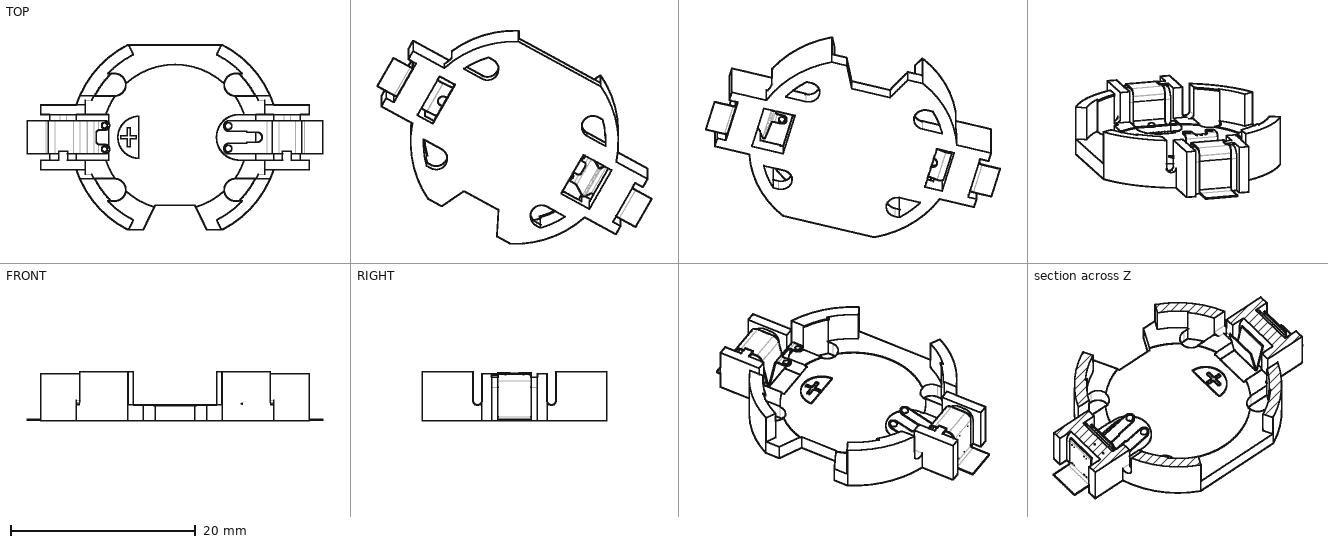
import cadquery as cq
import math


TRAY_RADIUS = 11.23
TRAY_DEPTH = 20.0
TRAY_HEIGHT = 1.73
CELL_RADIUS = 7.87
CELL_FLOOR = 1.63
NOTCH_FLAT = 7.35
NOTCH_INNER_WIDTH = 4.3
NOTCH_OUTER_WIDTH = 6.85

WALL_TOP = 5.3
WALL_INNER_RADIUS = 10.0
WALL_PAD_RADIUS = 9.85
WALL_LIP_RADIUS = 9.75
WALL_LIP_HEIGHT = 0.15
WALL_END_ANGLE = 63.3

CHEEK_INNER = 2.45
CHEEK_OUTER = 3.52
CHEEK_START = 9.7
CHEEK_END = 14.53
CHEEK_TOP = 5.12

GAP_WIDTH = 0.95
GAP_CENTER = CHEEK_OUTER + GAP_WIDTH / 2

HOLE_WIDTH = 2.4
HOLE_INNER_Y = CHEEK_OUTER + GAP_WIDTH
HOLE_CENTER_X = 6.53
HOLE_CENTER_Y = HOLE_INNER_Y + HOLE_WIDTH / 2
HOLE_OUTER_Y = HOLE_INNER_Y + HOLE_WIDTH

LEFT_OPENING_START = 7.17
RIGHT_OPENING_START = 8.75
RAMP_START = 4.48
RAMP_END_HEIGHT = 0.58

MARK_DEPTH = 0.13
MARK_FLAT_X = -3.9
MARK_RADIUS = 2.27
PLUS_CENTER_X = -5.02
PLUS_LENGTH_X = 1.65
PLUS_LENGTH_Y = 2.05
PLUS_BAR = 0.32

BLOCK_START = 10.65
BLOCK_END = 13.57
BLOCK_TOP = 4.75
BLOCK_ROUND = 1.1
CLIP_CENTER = 12.1
CLIP_WIDTH = 0.95
CLIP_TIP_Y = 1.5
CLIP_BOTTOM = 4.93

STRIP_WIDTH = 3.6
STRIP_THICKNESS = 0.13
STRIP_HALF = STRIP_THICKNESS / 2
STRIP_END = 16.0
FOOT_HEIGHT = 0.13
STRIP_TOP = 4.95
OUTER_LEG = BLOCK_END + STRIP_HALF
INNER_LEG = BLOCK_START - STRIP_HALF
TOP_BEND = 0.65
FOOT_BEND = 0.32

RIGHT_TIP_X = 5.28
RIGHT_TIP_HEIGHT = 2.37
RIGHT_HEEL_HEIGHT = 0.77
RIGHT_HEEL_BEND = 0.55
RIGHT_TIP_RADIUS = 0.58
RIGHT_SLOT_WIDTH = 1.05
RIGHT_SLOT_MOUTH = 1.28
RIGHT_SLOT_STEP_X = 7.78
RIGHT_SLOT_END_X = 9.4
BUMP_RADIUS = 0.4
BUMP_X = 5.75

LEFT_TIP_X = 7.07
LEFT_ARM_HEIGHT = 5.15
LEFT_SHOULDER_X = 10.5
LEFT_VEE_X = 9.5
LEFT_VEE_HEIGHT = 0.8
LEFT_VEE_BEND = 0.1
LEFT_ARM_CORNER_X = 8.65
LEFT_TIP_RADIUS = 0.5
LEFT_SLOT_END_X = 8.5
LEFT_SLOT_ROUND = 0.32
LEFT_BEND = 0.4
DIMPLE_X = 7.6
DIMPLE_RADIUS = 0.3


def box(x0, x1, y0, y1, z0, z1):
    """Box between two opposite corners."""
    return cq.Workplane("XY").box(x1 - x0, y1 - y0, z1 - z0, centered=False).translate((x0, y0, z0))


def cylinder(radius, z0, z1, x=0, y=0):
    """Upright cylinder between two heights."""
    return cq.Workplane("XY", origin=(x, y, z0)).circle(radius).extrude(z1 - z0)


def dome(radius):
    """Upper half of a sphere centred on the origin."""
    return cq.Workplane("XY").sphere(radius).intersect(cylinder(radius, 0, radius))


def four_corners(solid):
    """The solid and its mirror images about the XZ and YZ planes."""
    half = solid.union(solid.mirror("XZ"))
    return half.union(half.mirror("YZ"))


def flatted_disc(height):
    """Disc of the tray outline, with flats at the front and back."""
    band = box(-TRAY_RADIUS, TRAY_RADIUS, -TRAY_DEPTH / 2, TRAY_DEPTH / 2, 0, height)
    return cylinder(TRAY_RADIUS, 0, height).intersect(band)


def make_tray():
    """Tray floor with the round cell seat and the notch in its front edge."""
    notch = (
        cq.Workplane("XY")
        .polyline([
            (-NOTCH_INNER_WIDTH / 2, -NOTCH_FLAT),
            (NOTCH_INNER_WIDTH / 2, -NOTCH_FLAT),
            (NOTCH_OUTER_WIDTH / 2, -TRAY_DEPTH / 2),
            (-NOTCH_OUTER_WIDTH / 2, -TRAY_DEPTH / 2),
        ])
        .close()
        .extrude(TRAY_HEIGHT)
    )
    cell_seat = cylinder(CELL_RADIUS, CELL_FLOOR, TRAY_HEIGHT)
    return flatted_disc(TRAY_HEIGHT).cut(notch).cut(cell_seat)


def make_wall():
    """Retaining wall of the +X +Y quarter, thicker and lipped beside the tray hole."""
    ring = flatted_disc(WALL_TOP).cut(cylinder(WALL_INNER_RADIUS, 0, WALL_TOP))
    reach = 2 * TRAY_RADIUS
    end_angle = math.radians(WALL_END_ANGLE)
    sector = (
        cq.Workplane("XY")
        .polyline([(0, 0), (reach, 0), (reach * math.cos(end_angle), reach * math.sin(end_angle))])
        .close()
        .extrude(WALL_TOP)
    )
    pad = cylinder(WALL_INNER_RADIUS, 0, WALL_TOP).cut(cylinder(WALL_PAD_RADIUS, 0, WALL_TOP))
    lip_bottom = WALL_TOP - WALL_LIP_HEIGHT
    lip = cylinder(WALL_INNER_RADIUS, lip_bottom, WALL_TOP)
    lip = lip.cut(cylinder(WALL_LIP_RADIUS, lip_bottom, WALL_TOP))
    pad = pad.union(lip).intersect(box(0, TRAY_RADIUS, 0, HOLE_OUTER_Y, 0, WALL_TOP))
    beside_cheek = box(0, TRAY_RADIUS, 0, CHEEK_OUTER, 0, WALL_TOP)
    beside_gap = box(0, CHEEK_START, 0, GAP_CENTER, TRAY_HEIGHT, WALL_TOP)
    gap_axis_height = TRAY_HEIGHT + GAP_WIDTH / 2
    gap = box(0, TRAY_RADIUS, CHEEK_OUTER, HOLE_INNER_Y, gap_axis_height, WALL_TOP)
    gap_floor = (
        cq.Workplane("YZ").center(GAP_CENTER, gap_axis_height).circle(GAP_WIDTH / 2).extrude(TRAY_RADIUS)
    )
    return ring.intersect(sector).union(pad).cut(beside_cheek).cut(beside_gap).cut(gap).cut(gap_floor)


def make_hole():
    """Round-ended hole of the +X +Y quarter, running out to the wall."""
    slot = cylinder(HOLE_WIDTH / 2, 0, TRAY_HEIGHT, HOLE_CENTER_X, HOLE_CENTER_Y)
    slot = slot.union(box(HOLE_CENTER_X, TRAY_RADIUS, HOLE_INNER_Y, HOLE_OUTER_Y, 0, TRAY_HEIGHT))
    return slot.intersect(cylinder(WALL_PAD_RADIUS, 0, TRAY_HEIGHT))


def make_cheek():
    """Cheek of the +X +Y quarter."""
    return box(CHEEK_START, CHEEK_END, CHEEK_INNER, CHEEK_OUTER, 0, CHEEK_TOP)


def make_ramp_pocket():
    """Round-ended pocket whose floor slopes down from the cell seat to the right opening."""
    outline = cylinder(CHEEK_INNER, 0, TRAY_HEIGHT, RAMP_START + CHEEK_INNER)
    outline = outline.union(
        box(RAMP_START + CHEEK_INNER, RIGHT_OPENING_START, -CHEEK_INNER, CHEEK_INNER, 0, TRAY_HEIGHT)
    )
    outline = outline.intersect(
        box(RAMP_START, RIGHT_OPENING_START, -CHEEK_INNER, CHEEK_INNER, 0, TRAY_HEIGHT)
    )
    above_ramp = (
        cq.Workplane("XZ")
        .polyline([
            (RAMP_START, CELL_FLOOR),
            (RIGHT_OPENING_START, RAMP_END_HEIGHT),
            (RIGHT_OPENING_START, TRAY_HEIGHT),
            (RAMP_START, TRAY_HEIGHT),
        ])
        .close()
        .extrude(CHEEK_INNER, both=True)
    )
    return outline.intersect(above_ramp)


def make_polarity_mark():
    """Half-disc recess with a deeper plus sign in its floor."""
    recess_floor = CELL_FLOOR - MARK_DEPTH
    plus_floor = recess_floor - MARK_DEPTH
    half_disc = cylinder(MARK_RADIUS, recess_floor, CELL_FLOOR, MARK_FLAT_X).intersect(
        box(MARK_FLAT_X - MARK_RADIUS, MARK_FLAT_X, -MARK_RADIUS, MARK_RADIUS, 0, CELL_FLOOR)
    )
    plus_plane = cq.Workplane("XY", origin=(PLUS_CENTER_X, 0, plus_floor))
    bar_along_x = plus_plane.rect(PLUS_LENGTH_X, PLUS_BAR).extrude(MARK_DEPTH)
    bar_along_y = plus_plane.rect(PLUS_BAR, PLUS_LENGTH_Y).extrude(MARK_DEPTH)
    return half_disc.union(bar_along_x).union(bar_along_y)


def make_block():
    """Block between the right cheeks, rounded where the contact wraps over it."""
    block = box(BLOCK_START, BLOCK_END, -CHEEK_INNER, CHEEK_INNER, 0, BLOCK_TOP)
    return block.edges("|Y and >Z").fillet(BLOCK_ROUND)


def make_clip(center_x):
    """Tongue from the front cheek that holds a contact down."""
    half = CLIP_WIDTH / 2
    return box(center_x - half, center_x + half, -CHEEK_INNER, -CLIP_TIP_Y, CLIP_BOTTOM, CHEEK_TOP)


def bent_strip(start, corners, end):
    """Strip of constant thickness along a path in the XZ plane; corners are (x, z, bend radius)."""
    points = [start] + [corner[:2] for corner in corners] + [end]
    path = cq.Workplane("XZ").moveTo(*start)
    for before, (corner_x, corner_z, radius), after in zip(points, corners, points[2:]):
        vertex = cq.Vector(corner_x, corner_z)
        back = (cq.Vector(*before) - vertex).normalized()
        ahead = (cq.Vector(*after) - vertex).normalized()
        half_angle = back.getAngle(ahead) / 2
        tangent_length = radius / math.tan(half_angle)
        inset = radius / math.sin(half_angle) - radius
        bend_start = vertex + back * tangent_length
        bend_middle = vertex + (back + ahead).normalized() * inset
        bend_end = vertex + ahead * tangent_length
        path = path.lineTo(bend_start.x, bend_start.y)
        path = path.threePointArc((bend_middle.x, bend_middle.y), (bend_end.x, bend_end.y))
    path = path.lineTo(*end)
    section = cq.Workplane("YZ", origin=(start[0], 0, start[1])).rect(STRIP_WIDTH, STRIP_THICKNESS)
    return section.sweep(path)


def terminal_corners():
    """Bends from the solder foot, up the outer side of the block, to its top."""
    return [(OUTER_LEG, FOOT_HEIGHT, FOOT_BEND), (OUTER_LEG, STRIP_TOP, TOP_BEND)]


def arm_tip_trim(tip_x, tip_radius):
    """Material to remove so that two round-ended arms remain at the tip of a strip."""
    arm_y = STRIP_WIDTH / 2 - tip_radius
    root_x = tip_x + tip_radius
    trim = box(tip_x - STRIP_THICKNESS, root_x, -STRIP_WIDTH / 2, STRIP_WIDTH / 2, 0, WALL_TOP)
    for side in (-1, 1):
        trim = trim.cut(cylinder(tip_radius, 0, WALL_TOP, root_x, side * arm_y))
    return trim


def right_contact():
    """Right contact, with two bumped arms rising over the sloping pocket."""
    start = (STRIP_END, FOOT_HEIGHT)
    end = (RIGHT_TIP_X, RIGHT_TIP_HEIGHT)
    corners = terminal_corners() + [
        (INNER_LEG, STRIP_TOP, TOP_BEND),
        (INNER_LEG, RIGHT_HEEL_HEIGHT, RIGHT_HEEL_BEND),
    ]
    strip = bent_strip(start, corners, end)
    arm_start = RIGHT_TIP_X - STRIP_THICKNESS
    slot_end_center = RIGHT_SLOT_END_X - RIGHT_SLOT_WIDTH / 2
    slot = box(arm_start, slot_end_center, -RIGHT_SLOT_WIDTH / 2, RIGHT_SLOT_WIDTH / 2, 0, WALL_TOP)
    slot = slot.union(cylinder(RIGHT_SLOT_WIDTH / 2, 0, WALL_TOP, slot_end_center))
    mouth = box(arm_start, RIGHT_SLOT_STEP_X, -RIGHT_SLOT_MOUTH / 2, RIGHT_SLOT_MOUTH / 2, 0, WALL_TOP)
    strip = strip.cut(slot).cut(mouth)
    strip = strip.cut(arm_tip_trim(RIGHT_TIP_X, RIGHT_TIP_RADIUS))
    slope = (RIGHT_TIP_HEIGHT - RIGHT_HEEL_HEIGHT) / (INNER_LEG - RIGHT_TIP_X)
    bump_height = RIGHT_TIP_HEIGHT - slope * (BUMP_X - RIGHT_TIP_X)
    for side in (-1, 1):
        bump_y = side * (STRIP_WIDTH / 2 - RIGHT_TIP_RADIUS)
        strip = strip.union(dome(BUMP_RADIUS).translate((BUMP_X, bump_y, bump_height)))
    return strip


def left_contact():
    """Left contact, modelled towards +X and mirrored into place."""
    start = (STRIP_END, FOOT_HEIGHT)
    end = (LEFT_TIP_X, LEFT_ARM_HEIGHT)
    corners = terminal_corners() + [
        (LEFT_SHOULDER_X, STRIP_TOP, TOP_BEND),
        (LEFT_VEE_X, LEFT_VEE_HEIGHT, LEFT_VEE_BEND),
        (LEFT_ARM_CORNER_X, LEFT_ARM_HEIGHT, LEFT_BEND),
    ]
    strip = bent_strip(start, corners, end)
    slot_half = STRIP_WIDTH / 2 - 2 * LEFT_TIP_RADIUS
    slot = box(LEFT_TIP_X, LEFT_SLOT_END_X, -slot_half, slot_half, 0, WALL_TOP)
    slot = slot.edges("|Z and >X").fillet(LEFT_SLOT_ROUND)
    strip = strip.cut(slot)
    strip = strip.cut(arm_tip_trim(LEFT_TIP_X, LEFT_TIP_RADIUS))
    arm_top = LEFT_ARM_HEIGHT + STRIP_HALF
    for side in (-1, 1):
        dimple_center = (DIMPLE_X, side * (STRIP_WIDTH / 2 - LEFT_TIP_RADIUS), arm_top)
        shell = dome(BUMP_RADIUS).mirror("XY")
        bowl = dome(DIMPLE_RADIUS).mirror("XY")
        strip = strip.union(shell.translate(dimple_center)).cut(bowl.translate(dimple_center))
    return strip.mirror("YZ")


body = make_tray().union(four_corners(make_wall())).union(four_corners(make_cheek()))
body = body.cut(four_corners(make_hole()))
body = body.cut(box(-CHEEK_END, -LEFT_OPENING_START, -CHEEK_INNER, CHEEK_INNER, 0, WALL_TOP))
body = body.cut(box(RIGHT_OPENING_START, CHEEK_END, -CHEEK_INNER, CHEEK_INNER, 0, WALL_TOP))
body = body.cut(make_ramp_pocket()).cut(make_polarity_mark())

block = make_block()
result = (
    body.union(block)
    .union(block.mirror("YZ"))
    .union(make_clip(CLIP_CENTER))
    .union(make_clip(-CLIP_CENTER))
    .union(right_contact())
    .union(left_contact())
)